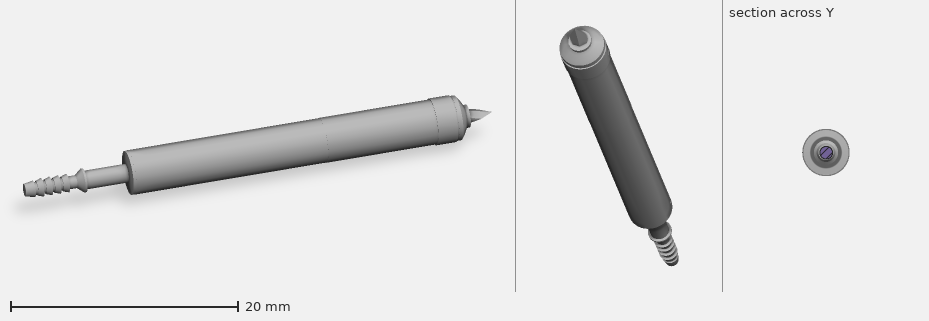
import cadquery as cq

POINT_Y = 21.35
POINT_BASE_Y = 19.15
NOSE_FRONT_Y = 18.85
NOSE_BACK_Y = 18.2
NECK_Y = 17.8
COLLAR_FRONT_Y = 17.68
COLLAR_BACK_Y = 15.9
SLEEVE_JOINT_Y = 5.85
TUBE_RIM_Y = -11.65
TUBE_END_Y = -11.9
END_CONE_Y = -12.05
STEM_FLANGE_Y = -15.9
STEM_FLANGE_BACK_Y = -16.05
STEM_CONE_END_Y = -16.65
FIRST_BARB_Y = -17.42
TAIL_END_Y = -21.35

POINT_DIAMETER = 1.4
NOSE_RING_DIAMETER = 2.05
SLEEVE_DIAMETER = 4.0
NECK_DIAMETER = 3.95
COLLAR_DIAMETER = 4.2
TUBE_DIAMETER = 3.95
RIM_DIAMETER = 3.93
STEM_DIAMETER = 1.65
STEM_FLANGE_DIAMETER = 2.15
TAIL_DIAMETER = 1.15

NOSE_BULGE = 0.03

BARB_COUNT = 4
BARB_PITCH = 0.75
BARB_LENGTH = 0.5
BARB_FRONT_DIAMETER = 1.65
BARB_BACK_DIAMETER = 1.32
LAST_BARB_DIAMETER = 1.45

POINT_SLOPE_X = 0.6
POINT_SLOPE_Z = 0.27

COLLAR_RECESS_Y = 16.85
COLLAR_RECESS_DIAMETER = 0.85
COLLAR_RECESS_DEPTH = 0.15
TUBE_RECESS_Y = -10.9
TUBE_RECESS_DIAMETER = 0.43
TUBE_RECESS_DEPTH = 0.2


def outline_point(diameter, y):
    """Point of the half-profile at the given diameter and axial station."""
    return (diameter / 2, y)


def barb_points():
    """Half-profile of the hose barbs, ending at the square front of the last one."""
    points = []
    for index in range(BARB_COUNT):
        front = FIRST_BARB_Y - index * BARB_PITCH
        back = front - BARB_LENGTH
        points += [
            outline_point(TAIL_DIAMETER, front),
            outline_point(BARB_FRONT_DIAMETER, front),
            outline_point(BARB_BACK_DIAMETER, back),
            outline_point(TAIL_DIAMETER, back),
        ]
    last_front = FIRST_BARB_Y - BARB_COUNT * BARB_PITCH
    points += [
        outline_point(TAIL_DIAMETER, last_front),
        outline_point(LAST_BARB_DIAMETER, last_front),
    ]
    return points


def turned_body():
    """Everything behind the point, as one half-profile revolved about Y."""
    nose_middle = (
        (NOSE_RING_DIAMETER + SLEEVE_DIAMETER) / 4 + NOSE_BULGE,
        (NOSE_FRONT_Y + NOSE_BACK_Y) / 2 + NOSE_BULGE,
    )
    behind_nose = [
        outline_point(SLEEVE_DIAMETER, NECK_Y),
        outline_point(NECK_DIAMETER, NECK_Y),
        outline_point(NECK_DIAMETER, COLLAR_FRONT_Y),
        outline_point(COLLAR_DIAMETER, COLLAR_FRONT_Y),
        outline_point(COLLAR_DIAMETER, COLLAR_BACK_Y),
        outline_point(SLEEVE_DIAMETER, COLLAR_BACK_Y),
        outline_point(SLEEVE_DIAMETER, SLEEVE_JOINT_Y),
        outline_point(TUBE_DIAMETER, SLEEVE_JOINT_Y),
        outline_point(TUBE_DIAMETER, TUBE_RIM_Y),
        outline_point(RIM_DIAMETER, TUBE_RIM_Y),
        outline_point(RIM_DIAMETER, TUBE_END_Y),
        outline_point(STEM_DIAMETER, END_CONE_Y),
        outline_point(STEM_DIAMETER, STEM_FLANGE_Y),
        outline_point(STEM_FLANGE_DIAMETER, STEM_FLANGE_Y),
        outline_point(STEM_FLANGE_DIAMETER, STEM_FLANGE_BACK_Y),
        outline_point(TAIL_DIAMETER, STEM_CONE_END_Y),
        *barb_points(),
        outline_point(TAIL_DIAMETER, TAIL_END_Y),
        (0, TAIL_END_Y),
    ]
    profile = (
        cq.Workplane("XY")
        .moveTo(0, POINT_BASE_Y)
        .lineTo(*outline_point(NOSE_RING_DIAMETER, POINT_BASE_Y))
        .lineTo(*outline_point(NOSE_RING_DIAMETER, NOSE_FRONT_Y))
        .threePointArc(nose_middle, outline_point(SLEEVE_DIAMETER, NOSE_BACK_Y))
    )
    for corner in behind_nose:
        profile = profile.lineTo(*corner)
    return profile.close().revolve(360, (0, 0), (0, 1))


def sharp_point():
    """Four-sided pyramid with ridges facing X and Z, trimmed by a round shank."""
    length = POINT_Y - NOSE_FRONT_Y
    half_x = POINT_SLOPE_X * length
    half_z = POINT_SLOPE_Z * length
    apex = cq.Vector(0, POINT_Y, 0)
    corners = [
        cq.Vector(half_x, NOSE_FRONT_Y, 0),
        cq.Vector(0, NOSE_FRONT_Y, half_z),
        cq.Vector(-half_x, NOSE_FRONT_Y, 0),
        cq.Vector(0, NOSE_FRONT_Y, -half_z),
    ]
    outlines = [corners]
    for start, end in zip(corners, corners[1:] + corners[:1]):
        outlines.append([start, end, apex])
    faces = [cq.Face.makeFromWires(cq.Wire.makePolygon(outline, close=True)) for outline in outlines]
    pyramid = cq.Solid.makeSolid(cq.Shell.makeShell(faces))
    base_center = cq.Vector(0, NOSE_FRONT_Y, 0)
    shank = cq.Solid.makeCylinder(POINT_DIAMETER / 2, length, base_center, cq.Vector(0, 1, 0))
    return cq.Workplane(pyramid).intersect(cq.Workplane(shank))


def side_recess(center_y, diameter, outer_diameter, depth):
    """Cutter for a flat-bottomed round recess in the -X side."""
    start = cq.Vector(-outer_diameter / 2 - depth, center_y, 0)
    cutter = cq.Solid.makeCylinder(diameter / 2, 2 * depth, start, cq.Vector(1, 0, 0))
    return cq.Workplane(cutter)


result = (
    turned_body()
    .union(sharp_point())
    .cut(side_recess(COLLAR_RECESS_Y, COLLAR_RECESS_DIAMETER, COLLAR_DIAMETER, COLLAR_RECESS_DEPTH))
    .cut(side_recess(TUBE_RECESS_Y, TUBE_RECESS_DIAMETER, TUBE_DIAMETER, TUBE_RECESS_DEPTH))
)